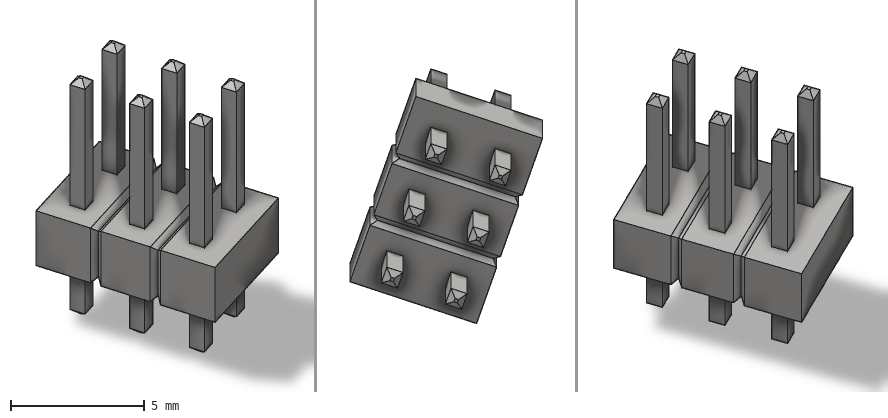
import cadquery as cq


columns = 3
rows = 2
housing_length = 7.62
housing_width = 5.02
pitch = housing_length / columns
housing_height = pitch
groove_depth = 0.22

pin_size = 0.64
pin_length = 10.92
pin_tail = pitch
tip_chamfer = 0.25

pin_positions = [
    ((column - (columns - 1) / 2) * pitch, (row - (rows - 1) / 2) * pitch)
    for column in range(columns)
    for row in range(rows)
]
groove_positions = [(column - columns / 2) * pitch for column in range(1, columns)]


def make_pin(x, y):
    """Square pin with a blunt pyramid at each end."""
    return (
        cq.Workplane("XY", origin=(x, y, -pin_tail))
        .rect(pin_size, pin_size)
        .extrude(pin_length)
        .faces("<Z or >Z")
        .chamfer(tip_chamfer)
    )


def make_module(x_start, x_end, groove_at_start, groove_at_end):
    """Housing block for one column, bevelled all round at each end that borders a groove."""
    block = cq.Workplane("XY").box(
        x_end - x_start, housing_width, housing_height, centered=(True, True, False)
    )
    block = block.translate(((x_start + x_end) / 2, 0, 0))
    if groove_at_start:
        block = block.faces("<X").chamfer(groove_depth)
    if groove_at_end:
        block = block.faces(">X").chamfer(groove_depth)
    return block


def make_housing():
    """Row of column blocks in one piece, with a square through hole for each pin."""
    edges = [-housing_length / 2, *groove_positions, housing_length / 2]
    body = make_module(edges[0], edges[1], False, True)
    for column in range(1, columns):
        is_last = column == columns - 1
        body = body.union(make_module(edges[column], edges[column + 1], True, not is_last))
    pin_holes = (
        cq.Workplane("XY")
        .pushPoints(pin_positions)
        .rect(pin_size, pin_size)
        .extrude(housing_height)
    )
    return body.cut(pin_holes)


housing = make_housing()
pins = [make_pin(x, y) for x, y in pin_positions]

result = cq.Compound.makeCompound([housing.val(), *[pin.val() for pin in pins]])